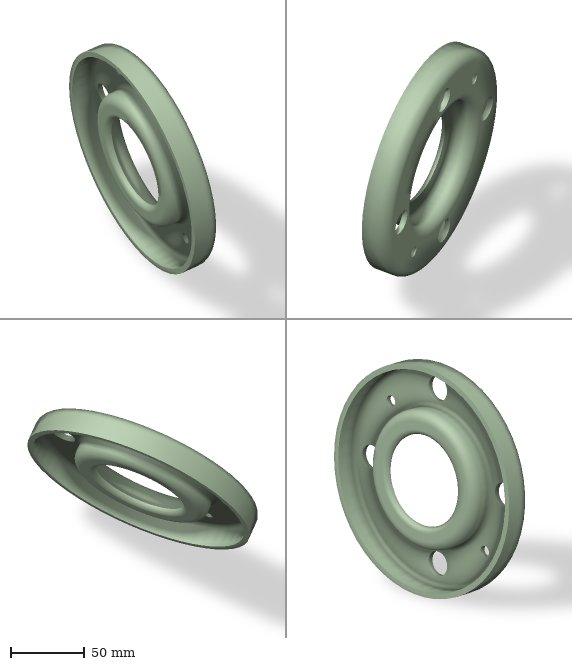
import cadquery as cq
import math

sheet = 4.0
inner_bend = 3.0
outer_bend = inner_bend + sheet
rim_radius = 82.5
rim_height = 20.0
hub_radius = 49.5
hub_height = 20.5
bore_radius = 32.5
bore_round = sheet

bolt_circle_radius = 62.5
bolt_hole_diameter = 17.5
bolt_hole_count = 4
pin_hole_diameter = 8.0
pin_hole_count = 2
pin_hole_start_angle = 135.0


def bend(profile, center, radius, start_angle, end_angle):
    """Line to the start of a bend, then its arc; angles in degrees from the radial axis."""
    start, middle, end = [
        (center[0] + radius * math.cos(a), center[1] + radius * math.sin(a))
        for a in map(math.radians, (start_angle, (start_angle + end_angle) / 2, end_angle))
    ]
    return profile.lineTo(*start).threePointArc(middle, end)


def make_shell():
    """Revolve the wall profile, drawn as (radius, height above the flat back)."""
    rim_center = (rim_radius - outer_bend, outer_bend)
    hub_top_center = (hub_radius - outer_bend, hub_height - outer_bend)
    hub_base_center = (hub_radius + inner_bend, outer_bend)
    bore_center = (bore_radius + bore_round, hub_height - bore_round)

    profile = cq.Workplane("XY").moveTo(rim_radius, rim_height)
    profile = bend(profile, rim_center, outer_bend, 0, -90)
    profile = bend(profile, hub_base_center, outer_bend, 270, 180)
    profile = bend(profile, hub_top_center, inner_bend, 0, 90)
    profile = bend(profile, bore_center, bore_round, 180, 90)
    profile = bend(profile, hub_top_center, outer_bend, 90, 0)
    profile = bend(profile, hub_base_center, inner_bend, 180, 270)
    profile = bend(profile, rim_center, inner_bend, -90, 0)
    profile = profile.lineTo(rim_radius - sheet, rim_height).close()
    shell = profile.revolve(360, (0, 0, 0), (0, 1, 0))
    return shell.rotate((0, 0, 0), (0, 0, 1), 180)


def make_holes(diameter, count, start_angle):
    """Cutters spaced evenly on the bolt circle, through the flat web."""
    return (
        cq.Workplane("XZ")
        .polarArray(bolt_circle_radius, start_angle, 360, count)
        .circle(diameter / 2)
        .extrude(hub_height)
    )


bolt_holes = make_holes(bolt_hole_diameter, bolt_hole_count, 0)
pin_holes = make_holes(pin_hole_diameter, pin_hole_count, pin_hole_start_angle)
result = make_shell().cut(bolt_holes).cut(pin_holes)